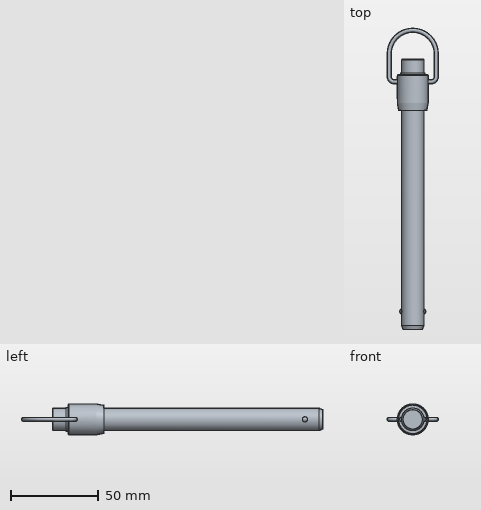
import cadquery as cq

overall_length = 173.0

shank_radius = 6.49
tip_radius = 5.5
tip_chamfer_length = 2.2

sleeve_radius = 8.9
sleeve_nose_radius = 8.1
sleeve_start = 125.7
sleeve_taper_end = 129.9
sleeve_end = 146.3
sleeve_edge_chamfer = 0.5

collar_radius = 7.0
collar_end = 147.4
button_end = 155.2
button_edge_chamfer = 0.3

ball_radius = 1.5
ball_span = 15.0
ball_position = 10.4

ring_width = 29.4
wire_diameter = 2.5
ring_arm_position = 142.2
ring_bend_radius = 3.0
ring_arm_embed = 1.7


def make_body():
    """Revolve the shank, sleeve, collar and button about the Y axis."""
    profile = [
        (0, 0),
        (tip_radius, 0),
        (shank_radius, tip_chamfer_length),
        (shank_radius, sleeve_start),
        (sleeve_nose_radius, sleeve_start),
        (sleeve_radius, sleeve_taper_end),
        (sleeve_radius, sleeve_end - sleeve_edge_chamfer),
        (sleeve_radius - sleeve_edge_chamfer, sleeve_end),
        (collar_radius, sleeve_end),
        (collar_radius, collar_end),
        (shank_radius, collar_end),
        (shank_radius, button_end - button_edge_chamfer),
        (shank_radius - button_edge_chamfer, button_end),
        (0, button_end),
    ]
    return cq.Workplane("XY").polyline(profile).close().revolve(360, (0, 0, 0), (0, 1, 0))


def make_ball(side):
    """Locking ball standing out of the shank on the given X side (-1 or 1)."""
    ball_center_x = side * (ball_span / 2 - ball_radius)
    return cq.Workplane("XY").sphere(ball_radius).translate((ball_center_x, ball_position, 0))


def make_ring():
    """Sweep the round wire along the ring's center line, anchored in both sides of the sleeve."""
    leg_x = (ring_width - wire_diameter) / 2
    arm_root_x = sleeve_radius - ring_arm_embed
    bend_x = leg_x - ring_bend_radius
    bend_end_y = ring_arm_position + ring_bend_radius
    arch_start_y = overall_length - ring_width / 2
    center_line = (
        cq.Workplane("XY")
        .moveTo(-arm_root_x, ring_arm_position)
        .lineTo(-bend_x, ring_arm_position)
        .tangentArcPoint((-leg_x, bend_end_y), relative=False)
        .lineTo(-leg_x, arch_start_y)
        .threePointArc((0, arch_start_y + leg_x), (leg_x, arch_start_y))
        .lineTo(leg_x, bend_end_y)
        .tangentArcPoint((bend_x, ring_arm_position), relative=False)
        .lineTo(arm_root_x, ring_arm_position)
    )
    wire_section = cq.Workplane("YZ", origin=(-arm_root_x, ring_arm_position, 0)).circle(wire_diameter / 2)
    return wire_section.sweep(center_line)


result = make_body().union(make_ring())
for side in (-1, 1):
    result = result.union(make_ball(side))